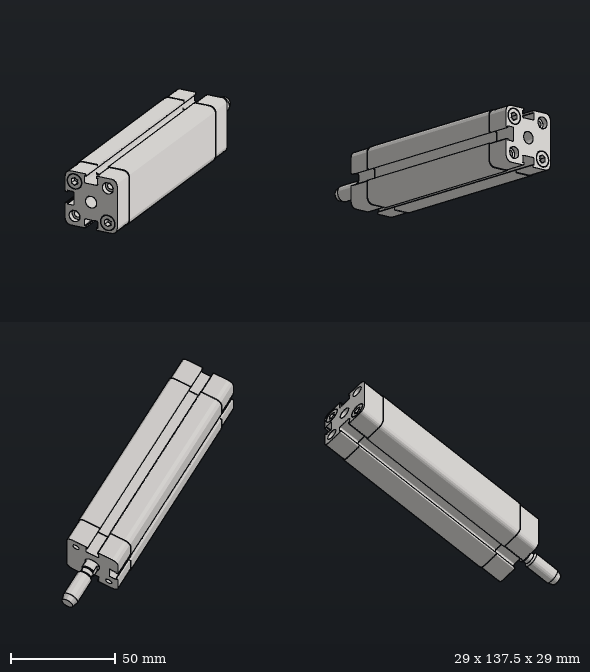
import cadquery as cq
import math

total_length = 137.5
rod_stickout = 24.5
housing_length = total_length - rod_stickout
cap_length = 12.1
barrel_length = housing_length - 2 * cap_length

barrel_width = 29.0
cap_width = 28.3
corner_center = 11.0
barrel_lip_round = 0.3
cap_lip_round = 0.5

slot_mouth_width = 5.6
slot_inner_width = 7.0
slot_floor_round = 0.5
slot_lip_height = 12.9
barrel_slot_floor = 9.8
cap_slot_floor = 9.4
slot_angles = (0, 90, 180)

bolt_spacing = 18.0
screw_recess_diameter = 8.0
screw_head_diameter = 7.5
screw_head_depth = 4.1
hex_across_flats = 3.5
hex_across_corners = hex_across_flats / math.cos(math.pi / 6)
hex_depth = 3.5
hex_turn = 30
through_diameter = 3.3
counterbore_diameter = 5.8
counterbore_depth = 3.0
center_hole_diameter = 6.0
center_hole_depth = cap_length

rod_diameter = 8.0
neck_diameter = 6.0
tip_taper_length = 3.0
thread_length = 17.6
thread_chamfer = (rod_diameter - neck_diameter) / 2
shoulder_length = 4.5
shoulder_chamfer = 0.3
flat_width = 6.0
flat_ramp = (rod_diameter - flat_width) / 2


def cross_plane(y):
    """Work plane across the axis at y, extruding toward +Y; its local x points along -X."""
    return cq.Workplane(cq.Plane(origin=(0, y, 0), xDir=(-1, 0, 0), normal=(0, 1, 0)))


def slot_cutter(length, width, floor, lip_round):
    """T-slot on the +Z side with rounded mouth edges, starting at y = 0."""
    outer = width / 2
    mouth = slot_mouth_width / 2
    inner = slot_inner_width / 2
    bulge = lip_round * (1 - math.sqrt(0.5))
    profile = (
        cross_plane(0)
        .moveTo(-inner, floor)
        .lineTo(inner, floor)
        .lineTo(inner, slot_lip_height)
        .lineTo(mouth, slot_lip_height)
        .lineTo(mouth, outer - lip_round)
        .threePointArc((mouth + bulge, outer - bulge), (mouth + lip_round, outer))
        .lineTo(-mouth - lip_round, outer)
        .threePointArc((-mouth - bulge, outer - bulge), (-mouth, outer - lip_round))
        .lineTo(-mouth, slot_lip_height)
        .lineTo(-inner, slot_lip_height)
        .close()
    )
    return profile.extrude(length).edges("|Y and <Z").fillet(slot_floor_round)


def slotted_block(start, length, width, floor, lip_round):
    """Square bar with rounded corners and T-slots on the +Z, -X and -Z sides."""
    corner_radius = width / 2 - corner_center
    block = cross_plane(0).rect(width, width).extrude(length).edges("|Y").fillet(corner_radius)
    cutter = slot_cutter(length, width, floor, lip_round)
    for angle in slot_angles:
        block = block.cut(cutter.rotate((0, 0, 0), (0, -1, 0), angle))
    return block.translate((0, start, 0))


def make_housing():
    barrel = slotted_block(cap_length, barrel_length, barrel_width, barrel_slot_floor, barrel_lip_round)
    for start in (0, cap_length + barrel_length):
        barrel = barrel.union(slotted_block(start, cap_length, cap_width, cap_slot_floor, cap_lip_round))
    return barrel


def bore(x, z, diameter, depth):
    """Round cutter sunk from the closed end face."""
    return cross_plane(0).center(-x, z).circle(diameter / 2).extrude(depth)


def screw_recess(x, z):
    """Thin gap around a flush screw head, plus its hex socket."""
    spot = cross_plane(0).center(-x, z)
    gap = spot.circle(screw_recess_diameter / 2).circle(screw_head_diameter / 2).extrude(screw_head_depth)
    socket = cross_plane(0).polygon(6, hex_across_corners).extrude(hex_depth)
    socket = socket.rotate((0, 0, 0), (0, 1, 0), hex_turn).translate((x, 0, z))
    return gap.union(socket)


def make_rod():
    """Turned rod with tapered tip, thread cylinder, neck and a shoulder with two flats."""
    rod_radius = rod_diameter / 2
    neck_radius = neck_diameter / 2
    thread_end = total_length - thread_length
    shoulder_end = housing_length + shoulder_length
    rod = (
        cq.Workplane("XY")
        .moveTo(0, housing_length)
        .lineTo(rod_radius, housing_length)
        .lineTo(rod_radius, shoulder_end - shoulder_chamfer)
        .lineTo(rod_radius - shoulder_chamfer, shoulder_end)
        .lineTo(neck_radius, shoulder_end)
        .lineTo(neck_radius, thread_end)
        .lineTo(rod_radius, thread_end + thread_chamfer)
        .lineTo(rod_radius, total_length - tip_taper_length)
        .lineTo(neck_radius, total_length)
        .lineTo(0, total_length)
        .close()
        .revolve(360, (0, 0, 0), (0, 1, 0))
    )
    flat = (
        cq.Workplane("XY")
        .moveTo(rod_radius, housing_length)
        .lineTo(flat_width / 2, housing_length + flat_ramp)
        .lineTo(flat_width / 2, shoulder_end)
        .lineTo(rod_radius, shoulder_end)
        .close()
        .extrude(rod_radius, both=True)
    )
    return rod.cut(flat).cut(flat.mirror("YZ"))


result = make_housing().union(make_rod())
result = result.cut(bore(0, 0, center_hole_diameter, center_hole_depth))
for side in (-1, 1):
    offset = side * bolt_spacing / 2
    result = result.cut(bore(offset, offset, through_diameter, housing_length))
    result = result.cut(bore(offset, offset, counterbore_diameter, counterbore_depth))
    result = result.cut(screw_recess(offset, -offset))